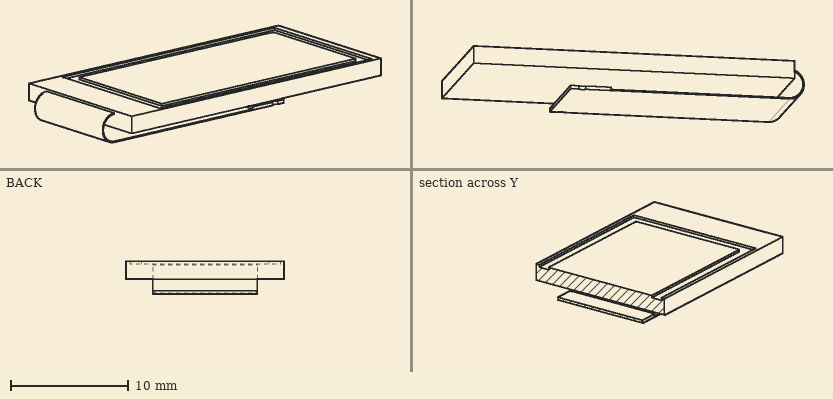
import cadquery as cq
import math

panel_width = 13.5
overall_length = 29.25
overall_height = 2.8
panel_thickness = 1.52

step_depth = 0.2
frame_margin = 0.35
frame_back_margin = 0.73
frame_length = 23.75
active_width = 10.85
active_length = 21.73
active_back_margin = 1.7

cable_width = 8.92
cable_thickness = 0.1
fold_height = 2.6

stiffener_thickness = 0.3
stiffener_length = 3.5
stiffener_end = 20.33
notch_diameter = 0.8
notch_opening = 0.6
notch_from_end = 1.0

fold_radius = fold_height / 2
panel_front = fold_radius
panel_back = overall_length
panel_bottom = overall_height - panel_thickness
notch_radius = notch_diameter / 2
notch_offset = math.sqrt(notch_radius**2 - (notch_opening / 2) ** 2)


def block(width, y_start, y_end, z_start, z_end):
    """Box centred on X between the given Y and Z limits."""
    return cq.Workplane("XY").box(
        width, y_end - y_start, z_end - z_start, centered=(True, False, False)
    ).translate((0, y_start, z_start))


def make_panel():
    """Panel with a shallow recessed border around the flush active area."""
    panel = block(panel_width, panel_front, panel_back, panel_bottom, overall_height)
    step_floor = overall_height - step_depth
    frame_back = panel_back - frame_back_margin
    active_back = panel_back - active_back_margin
    frame = block(
        panel_width - 2 * frame_margin,
        frame_back - frame_length, frame_back, step_floor, overall_height,
    )
    active = block(
        active_width, active_back - active_length, active_back, step_floor, overall_height
    )
    return panel.cut(frame.cut(active))


def make_cable():
    """Constant-thickness cable: half-round fold, then flat to its free end."""
    inner_radius = fold_radius - cable_thickness
    profile = (
        cq.Workplane("YZ", origin=(-cable_width / 2, 0, 0))
        .moveTo(stiffener_end, 0)
        .lineTo(panel_front, 0)
        .threePointArc((0, fold_radius), (panel_front, fold_height))
        .lineTo(panel_front, fold_height - cable_thickness)
        .threePointArc(
            (fold_radius - inner_radius, fold_radius), (panel_front, cable_thickness)
        )
        .lineTo(stiffener_end, cable_thickness)
        .close()
    )
    return profile.extrude(cable_width)


def make_notches():
    """Round cutters that bite a shallow notch into each side of the cable end."""
    notch_x = cable_width / 2 + notch_offset
    notch_y = stiffener_end - notch_from_end
    return (
        cq.Workplane("XY")
        .pushPoints([(-notch_x, notch_y), (notch_x, notch_y)])
        .circle(notch_radius)
        .extrude(stiffener_thickness)
    )


stiffener = block(
    cable_width, stiffener_end - stiffener_length, stiffener_end, 0, stiffener_thickness
)
cable = make_cable().union(stiffener).cut(make_notches())

result = make_panel().union(cable)